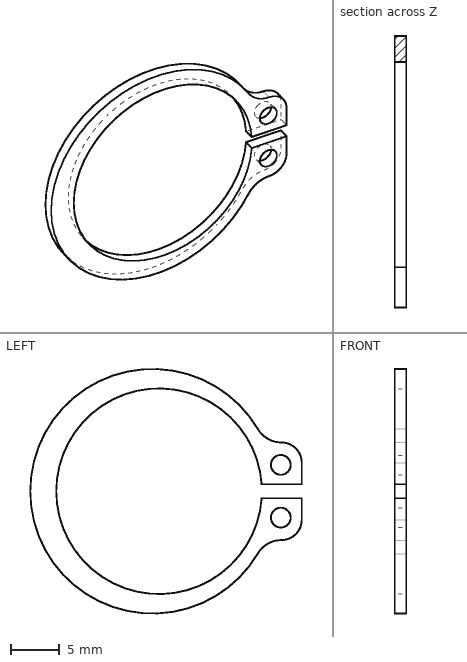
import cadquery as cq
import math

thickness = 1.2
outer_radius = 12.525
bore_radius = 10.5
bore_offset = 0.67
overall_length = 27.8
gap = 1.4
lug_height = 5.0
lug_corner_radius = 2.08
hole_diameter = 2.0
hole_y = -13.12
hole_z = 2.7

lug_end_y = outer_radius - overall_length
corner_y = lug_end_y + lug_corner_radius
corner_z = lug_height - lug_corner_radius

blend_radius = (corner_y**2 + lug_height**2 - outer_radius**2) / (2 * (outer_radius - lug_height))
blend_z = lug_height + blend_radius
center_distance = outer_radius + blend_radius
blend_start_y = corner_y * outer_radius / center_distance
blend_start_z = blend_z * outer_radius / center_distance
blend_mid_angle = (math.atan2(-blend_z, -corner_y) - math.pi / 2) / 2
blend_mid_y = corner_y + blend_radius * math.cos(blend_mid_angle)
blend_mid_z = blend_z + blend_radius * math.sin(blend_mid_angle)


def make_blank():
    """Ring disc with both lugs, before the bore, gap and holes are cut."""
    diagonal = lug_corner_radius * math.sqrt(0.5)
    outline = (
        cq.Workplane("YZ")
        .moveTo(outer_radius, 0)
        .threePointArc((0, outer_radius), (blend_start_y, blend_start_z))
        .threePointArc((blend_mid_y, blend_mid_z), (corner_y, lug_height))
        .threePointArc((corner_y - diagonal, corner_z + diagonal), (lug_end_y, corner_z))
        .lineTo(lug_end_y, 0)
        .mirrorX()
    )
    return outline.extrude(thickness / 2, both=True)


def make_bore():
    """Eccentric bore."""
    return (
        cq.Workplane("YZ")
        .center(-bore_offset, 0)
        .circle(bore_radius)
        .extrude(thickness, both=True)
        .rotate((0, -bore_offset, 0), (1, -bore_offset, 0), 180)
    )


def make_gap():
    """Split between the lugs, from the middle of the bore out past the lug ends."""
    return cq.Workplane("XY").box(2 * thickness, overall_length, gap).translate(
        (0, -bore_offset - overall_length / 2, 0)
    )


def make_plier_holes():
    """One through hole in each lug."""
    return (
        cq.Workplane("YZ")
        .pushPoints([(hole_y, hole_z), (hole_y, -hole_z)])
        .circle(hole_diameter / 2)
        .extrude(thickness, both=True)
    )


result = make_blank().cut(make_bore()).cut(make_gap()).cut(make_plier_holes())